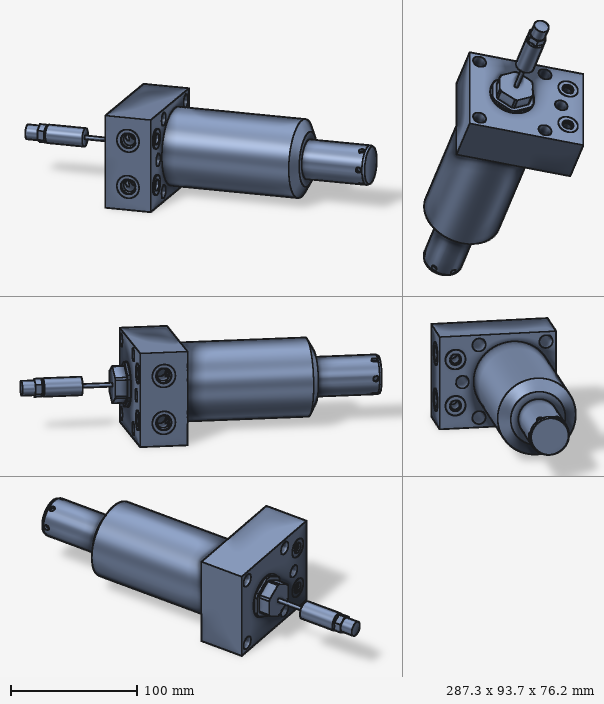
import cadquery as cq
import math


block_length = 38.1
block_height = 76.2
block_width = 93.68
block_top_y = 34.93
block_bottom_y = block_top_y - block_width

mount_hole_d = 10.7
mount_margin = 8.14
mount_pitch_y = 53.9
lower_hole_d = 10.3
lower_hole_y = -40.5

port_y = -46.15
port_z = 19.05
passage_d = 7.2
passage_mouth_d = 9.0
passage_mouth_length = 2.0
passage_face_d = 16.1
port_d = 9.8
port_mouth_d = 12.4
port_face_d = 18.6
port_mouth_length = 2.5
port_depth = 20.0
spotface_depth = 0.2

seal_d = 16.1
seal_bore_d = 9.0
seal_thickness = 2.6
seal_proud = 1.0

barrel_d = 63.0
barrel_end_x = 149.8
nose_taper_length = 5.5
nose_taper_angle = 60.0
nose_taper_depth = nose_taper_length * math.tan(math.radians(nose_taper_angle))

rod_d = 31.75
rod_end_x = 202.15
rod_end_taper_length = 2.0
rod_end_taper_depth = 0.9
spanner_hole_count = 6
spanner_hole_d = 4.4
spanner_hole_depth = 3.0
spanner_hole_from_end = 4.9

overall_length = 287.32
sensor_length = overall_length - rod_end_x
washer_d = 36.5
washer_thickness = 0.3
collar_flats = 33.0
collar_corner_d = 36.1
collar_thickness = 2.2
gland_flats = 27.0
gland_corner_d = 30.0
gland_length = 9.6
cable_d = 3.2
cable_length = 24.9
sleeve_d = 14.9
sleeve_length = 30.7
neck_d = 8.7
neck_length = 1.5
coupling_flats = 13.0
coupling_length = 5.6
tip_d = 12.0


def rod_along_x(diameter, start_x, length, y=0.0, z=0.0):
    """Round bar from start_x towards +X."""
    return cq.Workplane("YZ", origin=(start_x, y, z)).circle(diameter / 2).extrude(length)


def hexagon_along_x(flats, start_x, length):
    """Hexagonal bar from start_x towards +X, with two corners on the +Z and -Z sides."""
    corner_d = flats / math.cos(math.radians(30))
    bar = cq.Workplane("YZ").polygon(6, corner_d).extrude(length)
    return bar.rotate((0, 0, 0), (1, 0, 0), 90).translate((start_x, 0, 0))


def port_cutter(bore_d, mouth_d, mouth_length, face_d, depth):
    """Bore along +Z from z = 0: shallow spotface, wider mouth and a 45 degree step down to the bore."""
    step_depth = (mouth_d - bore_d) / 2
    return (
        cq.Workplane("XZ")
        .moveTo(0, 0)
        .lineTo(face_d / 2, 0)
        .lineTo(face_d / 2, spotface_depth)
        .lineTo(mouth_d / 2, spotface_depth)
        .lineTo(mouth_d / 2, mouth_length)
        .lineTo(bore_d / 2, mouth_length + step_depth)
        .lineTo(bore_d / 2, depth)
        .lineTo(0, depth)
        .close()
        .revolve(360, (0, 0, 0), (0, 1, 0))
    )


def make_barrel():
    """Barrel with its tapered nose, starting at the front face of the block."""
    radius = barrel_d / 2
    return (
        cq.Workplane("XY")
        .moveTo(block_length, 0)
        .lineTo(block_length, radius)
        .lineTo(barrel_end_x - nose_taper_length, radius)
        .lineTo(barrel_end_x, radius - nose_taper_depth)
        .lineTo(barrel_end_x, 0)
        .close()
        .revolve(360, (0, 0, 0), (1, 0, 0))
    )


def make_housing():
    """Manifold block and barrel in one piece, bored for the rod, ports and seals."""
    block = cq.Workplane("XY").box(block_length, block_width, block_height, centered=(False, False, True))
    housing = block.translate((0, block_bottom_y, 0)).union(make_barrel())
    housing = housing.cut(rod_along_x(rod_d, block_length, barrel_end_x - block_length))

    mount_y = block_top_y - mount_margin
    mount_z = block_height / 2 - mount_margin
    for y in (mount_y, mount_y - mount_pitch_y):
        for z in (-mount_z, mount_z):
            housing = housing.cut(rod_along_x(mount_hole_d, 0, block_length, y, z))
    housing = housing.cut(rod_along_x(lower_hole_d, 0, block_length, lower_hole_y))

    passage = port_cutter(passage_d, passage_mouth_d, passage_mouth_length, passage_face_d, block_length)
    passage = passage.rotate((0, 0, 0), (0, 1, 0), 90)
    port = port_cutter(port_d, port_mouth_d, port_mouth_length, port_face_d, port_depth)
    port = port.rotate((0, 0, 0), (1, 0, 0), -90)
    seal_seat_x = block_length - seal_thickness + seal_proud
    for z in (-port_z, port_z):
        housing = housing.cut(passage.translate((0, port_y, z)))
        housing = housing.cut(port.translate((block_length / 2, block_bottom_y, z)))
        housing = housing.cut(rod_along_x(seal_d, seal_seat_x, seal_thickness, port_y, z))
    return housing


def make_seal(z):
    """Flat ring seated in the block and standing slightly proud of its front face."""
    start_x = block_length - seal_thickness + seal_proud
    ring = rod_along_x(seal_d, start_x, seal_thickness, port_y, z)
    return ring.cut(rod_along_x(seal_bore_d, start_x, seal_thickness, port_y, z))


def make_rod():
    """Rod with a tapered end and a ring of radial spanner holes."""
    radius = rod_d / 2
    rod = (
        cq.Workplane("XY")
        .moveTo(block_length, 0)
        .lineTo(block_length, radius)
        .lineTo(rod_end_x - rod_end_taper_length, radius)
        .lineTo(rod_end_x, radius - rod_end_taper_depth)
        .lineTo(rod_end_x, 0)
        .close()
        .revolve(360, (0, 0, 0), (1, 0, 0))
    )
    hole = (
        cq.Workplane("XZ", origin=(rod_end_x - spanner_hole_from_end, -radius + spanner_hole_depth, 0))
        .circle(spanner_hole_d / 2)
        .extrude(radius)
    )
    for index in range(spanner_hole_count):
        rod = rod.cut(hole.rotate((0, 0, 0), (1, 0, 0), index * 360 / spanner_hole_count))
    return rod


def make_sensor():
    """Screw-in gland, cable and connector, laid out from the block towards -X."""
    x = -washer_thickness
    sensor = rod_along_x(washer_d, x, washer_thickness)

    x -= collar_thickness
    collar = hexagon_along_x(collar_flats, x, collar_thickness)
    sensor = sensor.union(collar.intersect(rod_along_x(collar_corner_d, x, collar_thickness)))

    x -= gland_length
    gland = hexagon_along_x(gland_flats, x, gland_length)
    sensor = sensor.union(gland.intersect(rod_along_x(gland_corner_d, x, gland_length)))

    x -= cable_length
    sensor = sensor.union(rod_along_x(cable_d, x, cable_length))

    x -= sleeve_length
    sensor = sensor.union(rod_along_x(sleeve_d, x, sleeve_length))

    x -= neck_length
    sensor = sensor.union(rod_along_x(neck_d, x, neck_length))

    x -= coupling_length
    sensor = sensor.union(hexagon_along_x(coupling_flats, x, coupling_length))

    tip_length = sensor_length + x
    return sensor.union(rod_along_x(tip_d, -sensor_length, tip_length))


housing = make_housing()
rod = make_rod()
sensor = make_sensor()
seals = [make_seal(z) for z in (-port_z, port_z)]

result = cq.Compound.makeCompound(
    [housing.val(), rod.val(), sensor.val(), *[seal.val() for seal in seals]]
)